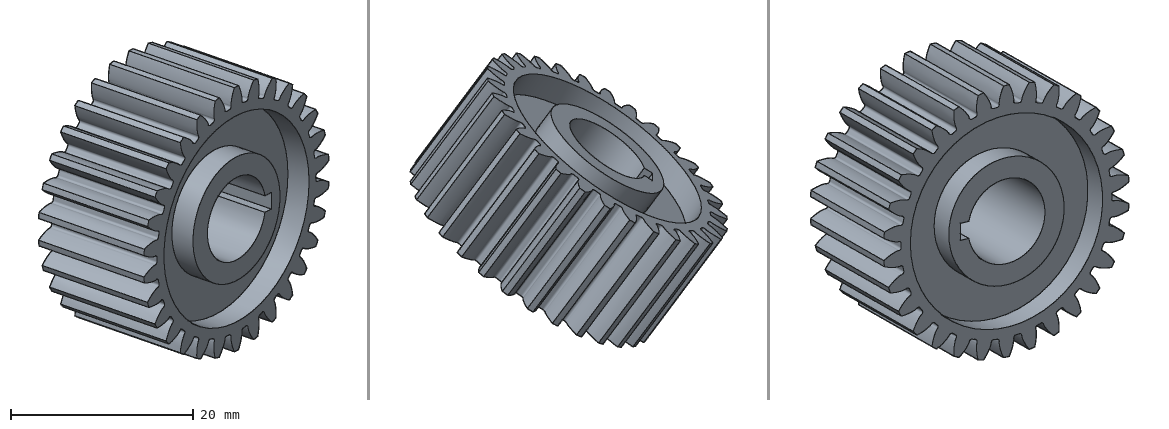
import cadquery as cq
import math


tip_radius = 16.0
tooth_count = 30
module = 2 * tip_radius / (tooth_count + 2)
pressure_angle = math.radians(20)
dedendum = 1.3 * module
root_fillet = 0.3
flank_steps = 6

pitch_radius = module * tooth_count / 2
base_radius = pitch_radius * math.cos(pressure_angle)
root_radius = pitch_radius - dedendum

face_width = 15 * module
near_face_x = -face_width / 2
far_face_x = face_width / 2
rim_inner_radius = 12.5 * module
hub_radius = 7.5 * module
recess_depth = 3 * module

bore_radius = 5 * module
keyway_width = 2 * module
keyway_reach = 6 * module

cutter_overrun = 0.32


def polar(radius, angle):
    return (radius * math.cos(angle), radius * math.sin(angle))


def involute(angle):
    """Polar angle swept by an involute whose pressure angle is the given one."""
    return math.tan(angle) - angle


def half_space_angle(radius):
    """Half the angle of a tooth space at a radius on the involute flank."""
    at_pitch = math.pi / (2 * tooth_count)
    return at_pitch + involute(math.acos(base_radius / radius)) - involute(pressure_angle)


def cylinder(radius):
    """Full-width cylinder on the gear axis."""
    return cq.Workplane("YZ", origin=(near_face_x, 0, 0)).circle(radius).extrude(face_width)


def tooth_space():
    """Cutter for one tooth space, centred on +Y: involute flanks, then radial down to the root."""
    outer_radius = tip_radius + cutter_overrun
    flank_radii = [
        base_radius + (outer_radius - base_radius) * (step / flank_steps) ** 2
        for step in range(flank_steps + 1)
    ]
    left_flank = [polar(r, half_space_angle(r)) for r in flank_radii]
    right_flank = [polar(r, -half_space_angle(r)) for r in reversed(flank_radii)]
    root_angle = half_space_angle(base_radius)
    cutter = (
        cq.Workplane("YZ", origin=(near_face_x, 0, 0))
        .moveTo(*polar(root_radius, -root_angle))
        .threePointArc((root_radius, 0), polar(root_radius, root_angle))
        .lineTo(*left_flank[0])
        .spline(left_flank[1:], includeCurrent=True)
        .lineTo(*right_flank[0])
        .spline(right_flank[1:], includeCurrent=True)
        .close()
        .extrude(face_width)
    )
    root_corners = cq.selectors.BoxSelector(
        (-face_width, 0, -root_radius),
        (face_width, (root_radius + base_radius) / 2, root_radius),
    )
    return cutter.edges("|X").edges(root_corners).fillet(root_fillet)


def toothed_blank():
    blank = cylinder(tip_radius)
    space = tooth_space().val()
    pitch_degrees = 360 / tooth_count
    spaces = [
        space.rotate(cq.Vector(0, 0, 0), cq.Vector(1, 0, 0), index * pitch_degrees)
        for index in range(tooth_count)
    ]
    return blank.cut(cq.Workplane(cq.Compound.makeCompound(spaces)))


def web_recess(start_x):
    """Ring-shaped recess between the rim and the hub."""
    return (
        cq.Workplane("YZ", origin=(start_x, 0, 0))
        .circle(rim_inner_radius)
        .circle(hub_radius)
        .extrude(recess_depth)
    )


def keyed_bore():
    bore = cylinder(bore_radius)
    keyway = (
        cq.Workplane("XY")
        .box(face_width, keyway_reach, keyway_width)
        .translate((0, keyway_reach / 2, 0))
    )
    return bore.union(keyway)


result = (
    toothed_blank()
    .cut(web_recess(near_face_x))
    .cut(web_recess(far_face_x - recess_depth))
    .cut(keyed_bore())
)